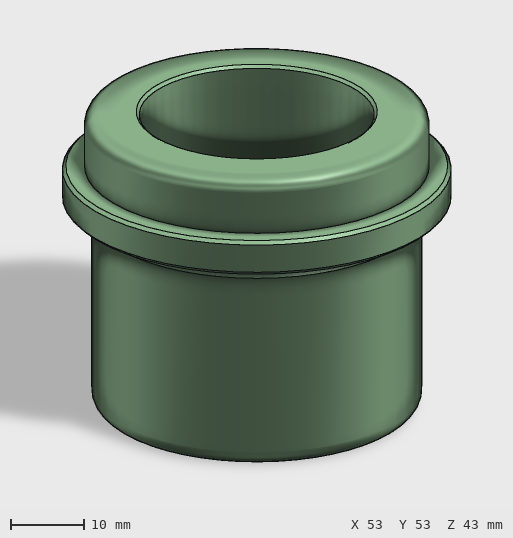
import cadquery as cq

flange_diameter = 53.0
head_diameter = 47.0
body_diameter = 45.0
bore_diameter = 32.0
total_height = 43.0
head_height = 8.0
flange_thickness = 5.0

head_fillet = 2.0
foot_fillet = 2.0
flange_chamfer = 0.5
bore_chamfer = 0.4
neck_depth = 0.75
neck_height = 2.1

bore_radius = bore_diameter / 2
body_radius = body_diameter / 2
neck_radius = body_radius - neck_depth
flange_top = total_height - head_height
flange_bottom = flange_top - flange_thickness
neck_bottom = flange_bottom - neck_height
neck_curve_radius = (neck_height**2 + neck_depth**2) / (2 * neck_depth)


def cylinder(diameter, bottom, top):
    """Upright cylinder on the Z axis between two heights."""
    return cq.Workplane("XY").workplane(offset=bottom).circle(diameter / 2).extrude(top - bottom)


def make_body():
    """Lower sleeve: rounded foot, straight wall and a neck curving in under the flange."""
    return (
        cq.Workplane("XZ")
        .lineTo(body_radius - foot_fillet, 0)
        .radiusArc((body_radius, foot_fillet), -foot_fillet)
        .lineTo(body_radius, neck_bottom)
        .radiusArc((neck_radius, flange_bottom), neck_curve_radius)
        .lineTo(0, flange_bottom)
        .close()
        .revolve(360, (0, 0, 0), (0, 1, 0))
    )


flange = cylinder(flange_diameter, flange_bottom, flange_top).edges().chamfer(flange_chamfer)

head = cylinder(head_diameter, flange_top, total_height).edges(">Z").fillet(head_fillet)

bore_profile = [
    (0, 0),
    (bore_radius + bore_chamfer, 0),
    (bore_radius, bore_chamfer),
    (bore_radius, total_height - bore_chamfer),
    (bore_radius + bore_chamfer, total_height),
    (0, total_height),
]
bore = cq.Workplane("XZ").polyline(bore_profile).close().revolve(360, (0, 0, 0), (0, 1, 0))

result = make_body().union(flange).union(head).cut(bore)